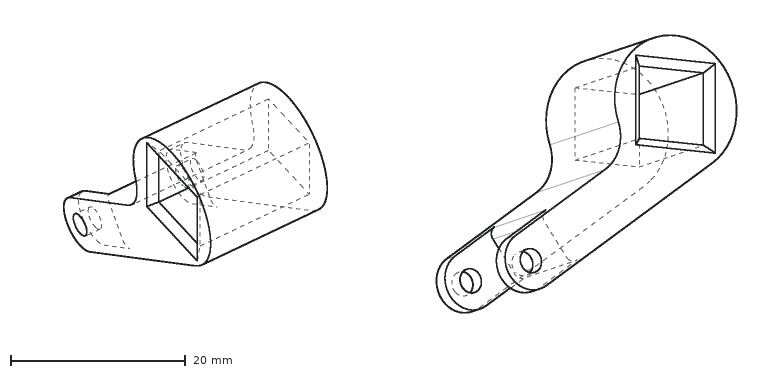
import cadquery as cq
import math

length_x = 30.4
height_z = 31.4
width = 16.0

hub_radius = 8.0
arm_end_radius = 3.4
neck_radius = 5.0

pin_diameter = 2.8
ear_thickness = 2.0
slot_floor_distance = 5.4
slot_floor_rounding = 1.0

socket_side = 8.4
socket_chamfer = 1.0
socket_chamfer_depth = 1.0

pin_x = -(length_x - hub_radius - arm_end_radius)
pin_z = -(height_z - hub_radius - arm_end_radius)

center_distance = math.hypot(pin_x, pin_z)
arm_angle = math.atan2(-pin_z, -pin_x) - math.asin((hub_radius - arm_end_radius) / center_distance)
along = (math.cos(arm_angle), math.sin(arm_angle))
across = (-along[1], along[0])


def from_pin(distance_along, distance_across):
    """XZ point given in the arm's own directions, measured from the pin axis."""
    return (
        pin_x + distance_along * along[0] + distance_across * across[0],
        pin_z + distance_along * along[1] + distance_across * across[1],
    )


def prism(outline):
    """Extrude a closed XZ outline over the full width, centered on Y = 0."""
    return outline.extrude(width / 2, both=True)


def make_body():
    hub_along = math.sqrt(center_distance**2 - (hub_radius - arm_end_radius) ** 2)
    hub_across = hub_radius - arm_end_radius

    neck_across = arm_end_radius + neck_radius
    hub_to_neck = hub_radius + neck_radius
    neck_along = hub_along - math.sqrt(hub_to_neck**2 - (neck_across - hub_across) ** 2)
    neck_center = from_pin(neck_along, neck_across)
    neck_end = tuple(c * hub_radius / hub_to_neck for c in neck_center)

    arc_start = from_pin(neck_along, arm_end_radius)
    chord_middle = [(a + b) / 2 for a, b in zip(arc_start, neck_end)]
    offset = [m - c for m, c in zip(chord_middle, neck_center)]
    stretch = neck_radius / math.hypot(*offset)
    neck_middle = tuple(c + stretch * d for c, d in zip(neck_center, offset))

    outline = (
        cq.Workplane("XZ")
        .moveTo(*from_pin(hub_along, -arm_end_radius))
        .lineTo(*from_pin(0, -arm_end_radius))
        .threePointArc(from_pin(-arm_end_radius, 0), from_pin(0, arm_end_radius))
        .lineTo(*arc_start)
        .threePointArc(neck_middle, neck_end)
        .threePointArc((0, hub_radius), from_pin(hub_along, -arm_end_radius))
        .close()
    )
    return prism(outline)


def make_slot():
    """Gap between the ears; its floor is rounded over at both arm edges."""
    r = slot_floor_rounding
    floor = slot_floor_distance
    edge = arm_end_radius
    open_end = -2 * arm_end_radius
    clear_side = 2 * arm_end_radius
    diagonal = r * (1 - math.sqrt(0.5))
    outline = (
        cq.Workplane("XZ")
        .moveTo(*from_pin(open_end, -clear_side))
        .lineTo(*from_pin(floor + r, -clear_side))
        .lineTo(*from_pin(floor + r, -edge))
        .threePointArc(from_pin(floor + diagonal, diagonal - edge), from_pin(floor, r - edge))
        .lineTo(*from_pin(floor, edge - r))
        .threePointArc(from_pin(floor + diagonal, edge - diagonal), from_pin(floor + r, edge))
        .lineTo(*from_pin(floor + r, clear_side))
        .lineTo(*from_pin(open_end, clear_side))
        .close()
    )
    return outline.extrude(width / 2 - ear_thickness, both=True)


def make_pin_hole():
    return prism(cq.Workplane("XZ").center(pin_x, pin_z).circle(pin_diameter / 2))


def make_socket():
    """Square through hole with a tapered lead-in on the -Y face."""
    mouth_side = socket_side + 2 * socket_chamfer
    through = prism(cq.Workplane("XZ").rect(socket_side, socket_side))
    lead_in = (
        cq.Workplane("XZ", origin=(0, socket_chamfer_depth - width / 2, 0))
        .rect(socket_side, socket_side)
        .workplane(offset=socket_chamfer_depth)
        .rect(mouth_side, mouth_side)
        .loft(combine=True)
    )
    return through.union(lead_in)


result = make_body().cut(make_slot()).cut(make_pin_hole()).cut(make_socket())